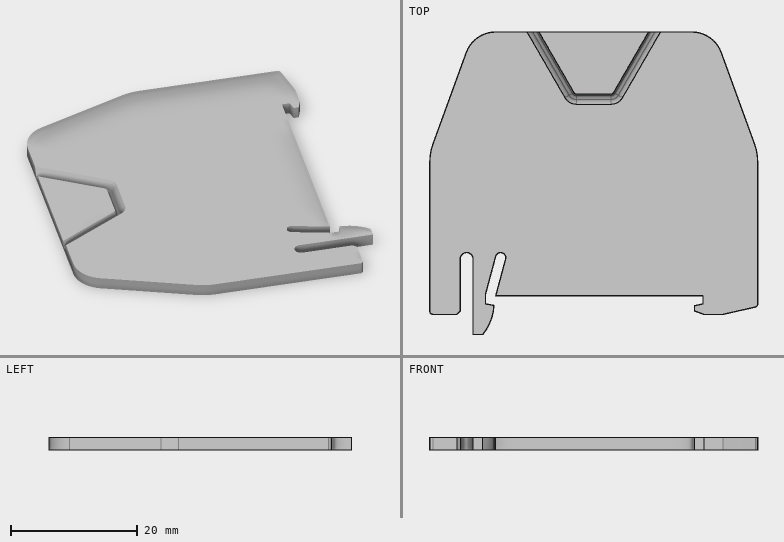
import cadquery as cq
import math

width = 52.0
height = 48.0
thickness = 2.0

shoulder_angle = math.radians(20)
shoulder_start_y = 28.86
shoulder_top_radius = 5.0
shoulder_side_radius = 8.0

foot_bottom_y = 3.2
foot_width = 4.85
foot_left_corner_radius = 0.5
foot_right_corner_chamfer = 0.55
rail_seat_y = 6.17

slot_width = 2.0
slot_top_y = 13.0

leg_tip_width = 1.55
barb_tip_x = 10.2
barb_tip_y = 4.65
barb_root_x = 8.87
barb_root_y = 4.9
barb_back_radius = 8.0

lean_angle = math.radians(15)
lean_slot_width = 1.6
seat_left_x = 10.45

hook_wall_x = 43.3
hook_root_y = 4.9
hook_tip_x = 41.95
hook_tip_top_y = 4.6
hook_tip_bottom_y = 3.75
hook_flat_start_x = 43.45
hook_flat_end_x = 46.5
hook_corner_y = 4.45
hook_corner_radius = 0.5

groove_half_width_at_top = 10.58
groove_length_y = 11.48
groove_side_angle = math.radians(30)
groove_outer_wall_angle = math.radians(30)
groove_inner_wall_angle = math.radians(20)
groove_corner_radius = 2.1
groove_depth = 1.5
groove_floor_radius = 0.33
panel_drop = 0.55
overrun = 1.0


def make_plate():
    """Flat plate with shoulders, slots, spring leg and hook."""
    shoulder_inset = (height - shoulder_start_y) * math.tan(shoulder_angle)
    slot_right_x = foot_width + slot_width
    slot_radius = slot_width / 2
    slot_center_y = slot_top_y - slot_radius

    lean_radius = lean_slot_width / 2
    lean_center_y = slot_top_y - lean_radius
    across_x = lean_radius * math.cos(lean_angle)
    across_y = lean_radius * math.sin(lean_angle)
    half_opening = lean_radius / math.cos(lean_angle)
    lean_axis_x = seat_left_x - half_opening
    lean_center_x = lean_axis_x + (lean_center_y - rail_seat_y) * math.tan(lean_angle)
    leg_left_wall_x = lean_axis_x - half_opening
    leg_bend_y = rail_seat_y + (barb_root_x - leg_left_wall_x) / math.tan(lean_angle)

    plate = (
        cq.Workplane("XY")
        .moveTo(0, foot_bottom_y)
        .lineTo(foot_width - foot_right_corner_chamfer, foot_bottom_y)
        .lineTo(foot_width, foot_bottom_y + foot_right_corner_chamfer)
        .lineTo(foot_width, slot_center_y)
        .threePointArc((foot_width + slot_radius, slot_top_y), (slot_right_x, slot_center_y))
        .lineTo(slot_right_x, 0)
        .lineTo(slot_right_x + leg_tip_width, 0)
        .radiusArc((barb_tip_x, barb_tip_y), -barb_back_radius)
        .lineTo(barb_root_x, barb_root_y)
        .lineTo(barb_root_x, leg_bend_y)
        .lineTo(lean_center_x - across_x, lean_center_y + across_y)
        .threePointArc(
            (
                lean_center_x + lean_radius * math.sin(lean_angle),
                lean_center_y + lean_radius * math.cos(lean_angle),
            ),
            (lean_center_x + across_x, lean_center_y - across_y),
        )
        .lineTo(seat_left_x, rail_seat_y)
        .lineTo(hook_wall_x, rail_seat_y)
        .lineTo(hook_wall_x, hook_root_y)
        .lineTo(hook_tip_x, hook_tip_top_y)
        .lineTo(hook_tip_x, hook_tip_bottom_y)
        .lineTo(hook_flat_start_x, foot_bottom_y)
        .lineTo(hook_flat_end_x, foot_bottom_y)
        .lineTo(width, hook_corner_y)
        .lineTo(width, shoulder_start_y)
        .lineTo(width - shoulder_inset, height)
        .lineTo(shoulder_inset, height)
        .lineTo(0, shoulder_start_y)
        .close()
        .extrude(thickness)
    )

    rounded_corners = [
        (0, foot_bottom_y, foot_left_corner_radius),
        (width, hook_corner_y, hook_corner_radius),
        (0, shoulder_start_y, shoulder_side_radius),
        (width, shoulder_start_y, shoulder_side_radius),
        (shoulder_inset, height, shoulder_top_radius),
        (width - shoulder_inset, height, shoulder_top_radius),
    ]
    for x, y, radius in rounded_corners:
        corner = cq.selectors.NearestToPointSelector((x, y, thickness / 2))
        plate = plate.edges(corner).fillet(radius)
    return plate


def groove_path_start(inset):
    """Left end of the groove path, just beyond the top edge of the plate."""
    half = groove_half_width_at_top + overrun * math.tan(groove_side_angle)
    half -= inset / math.cos(groove_side_angle)
    return (width / 2 - half, height + overrun)


def groove_path(inset):
    """Open path parallel to the groove's outer edge, moved inwards by inset."""
    center_x = width / 2
    radius = groove_corner_radius - inset
    slope = math.tan(groove_side_angle)
    turn = math.pi / 2 - groove_side_angle
    start_x, start_y = groove_path_start(inset)

    bottom_y = height - groove_length_y
    outer_corner_half = groove_half_width_at_top - groove_length_y * slope
    arc_half = outer_corner_half - groove_corner_radius * math.tan(turn / 2)
    arc_y = bottom_y + groove_corner_radius

    def on_arc(side, angle):
        x = center_x + side * (arc_half + radius * math.sin(angle))
        return (x, arc_y - radius * math.cos(angle))

    return (
        cq.Workplane("XY", origin=(0, 0, thickness))
        .moveTo(start_x, start_y)
        .lineTo(*on_arc(-1, turn))
        .threePointArc(on_arc(-1, turn / 2), on_arc(-1, 0))
        .lineTo(*on_arc(1, 0))
        .threePointArc(on_arc(1, turn / 2), on_arc(1, turn))
        .lineTo(width - start_x, start_y)
    )


def cut_panel_and_groove(plate):
    """Lower the panel below the plate face and run the groove around it."""
    outer_foot = groove_floor_radius * math.cos(groove_outer_wall_angle)
    outer_foot_z = groove_floor_radius * (1 - math.sin(groove_outer_wall_angle)) - groove_depth
    outer_rim = outer_foot - outer_foot_z * math.tan(groove_outer_wall_angle)
    inner_foot = groove_floor_radius * math.cos(groove_inner_wall_angle)
    inner_foot_z = groove_floor_radius * (1 - math.sin(groove_inner_wall_angle)) - groove_depth
    inner_rim = inner_foot - inner_foot_z * math.tan(groove_inner_wall_angle)

    path = groove_path(outer_rim)
    panel_pocket = groove_path(outer_rim).close().extrude(-panel_drop)

    start_x, start_y = groove_path_start(outer_rim)
    section_plane = cq.Plane(
        origin=(start_x, start_y, thickness),
        xDir=(math.cos(groove_side_angle), math.sin(groove_side_angle), 0),
        normal=(math.sin(groove_side_angle), -math.cos(groove_side_angle), 0),
    )
    section = (
        cq.Workplane(section_plane)
        .moveTo(-outer_rim, 0)
        .lineTo(-outer_foot, outer_foot_z)
        .threePointArc((0, -groove_depth), (inner_foot, inner_foot_z))
        .lineTo(inner_rim, 0)
        .close()
    )
    groove = section.sweep(path)
    return plate.cut(panel_pocket).cut(groove)


result = cut_panel_and_groove(make_plate())